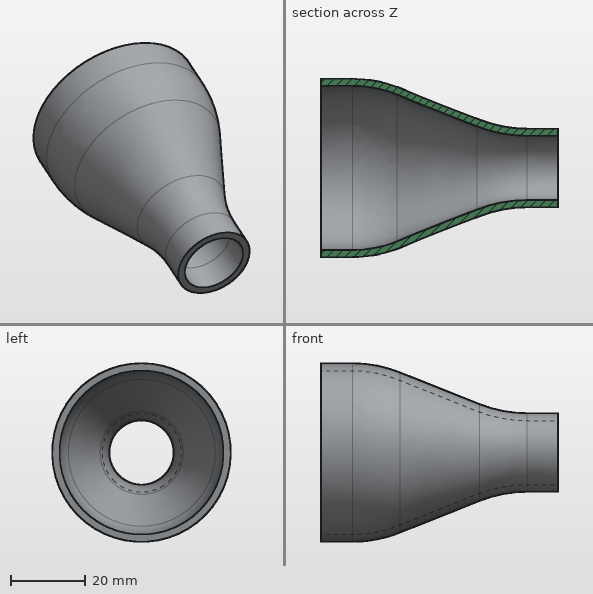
import cadquery as cq
import math

length = 64.0
large_diameter = 48.3
small_diameter = 21.3
wall = 2.0

collar_length = 8.4
cone_angle = math.radians(21.7)

large_radius = large_diameter / 2
small_radius = small_diameter / 2
radius_drop = large_radius - small_radius
taper_length = length - 2 * collar_length
bend_radius = (
    (taper_length * math.sin(cone_angle) - radius_drop * math.cos(cone_angle))
    / (2 * (1 - math.cos(cone_angle)))
)

large_end_x = -length / 2
small_end_x = length / 2
large_bend_x = large_end_x + collar_length
small_bend_x = small_end_x - collar_length


def point_on_large_bend(angle, inset):
    """Point on the convex bend, moved inward by inset along the wall normal."""
    center_r = large_radius - bend_radius
    radius = bend_radius - inset
    return (large_bend_x + radius * math.sin(angle), center_r + radius * math.cos(angle))


def point_on_small_bend(angle, inset):
    """Point on the concave bend, moved inward by inset along the wall normal."""
    center_r = small_radius + bend_radius
    radius = bend_radius + inset
    return (small_bend_x - radius * math.sin(angle), center_r - radius * math.cos(angle))


def revolved_profile(inset):
    """Solid of revolution bounded by the outer profile moved inward by inset."""
    half_angle = cone_angle / 2
    profile = (
        cq.Workplane("XZ")
        .moveTo(large_end_x, 0)
        .lineTo(large_end_x, large_radius - inset)
        .lineTo(large_bend_x, large_radius - inset)
        .threePointArc(point_on_large_bend(half_angle, inset), point_on_large_bend(cone_angle, inset))
        .lineTo(*point_on_small_bend(cone_angle, inset))
        .threePointArc(point_on_small_bend(half_angle, inset), (small_bend_x, small_radius - inset))
        .lineTo(small_end_x, small_radius - inset)
        .lineTo(small_end_x, 0)
        .close()
    )
    return profile.revolve(360, (0, 0, 0), (1, 0, 0))


result = revolved_profile(0).cut(revolved_profile(wall))